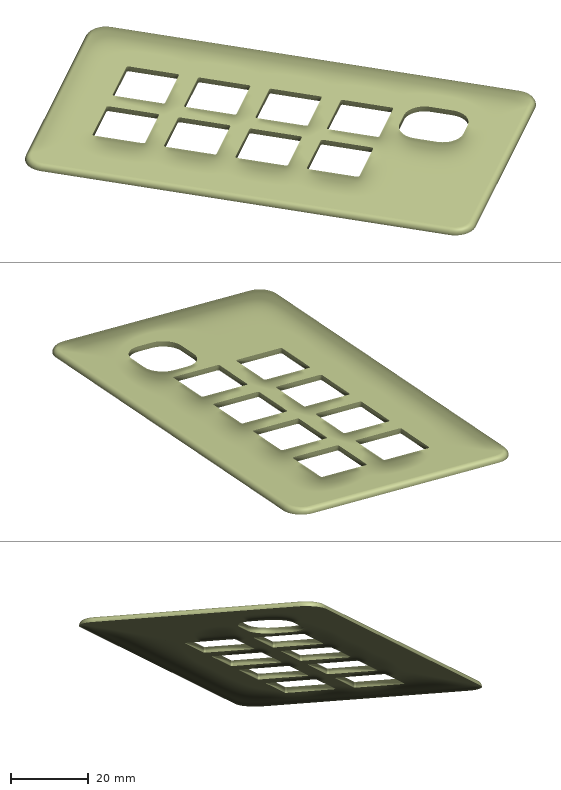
import cadquery as cq

plate_length = 120.0
plate_width = 67.62
plate_thickness = 1.5
corner_radius = 5.5
rim_radius = plate_thickness

key_columns = 4
key_rows = 2
key_pitch = 19.05
key_size = 14.0
key_corner_radius = 0.5
key_grid_x = -10.025
key_grid_y = 0.0

opening_length = 17.0
opening_width = 15.0
opening_corner_radius = 5.5
opening_x = 37.5
opening_y = 11.975


def rounded_block(length, width, height, radius):
    """Block with rounded vertical edges, standing on Z = 0."""
    block = cq.Workplane("XY").box(length, width, height, centered=(True, True, False))
    return block.edges("|Z").fillet(radius)


def make_plate():
    """Plate whose rim curves from the top face down to the bottom edge."""
    blank = rounded_block(plate_length, plate_width, 2 * plate_thickness, corner_radius)
    blank = blank.faces(">Z").edges().fillet(rim_radius)
    lower_half = cq.Workplane("XY").box(
        plate_length, plate_width, plate_thickness, centered=(True, True, False)
    )
    return blank.cut(lower_half).translate((0, 0, -plate_thickness))


def grid_offset(index, count):
    """Distance of one row or column from the middle of the key grid."""
    return (index - (count - 1) / 2) * key_pitch


def cut_keys(body):
    """Cut the grid of key windows through the plate."""
    window = rounded_block(key_size, key_size, plate_thickness, key_corner_radius)
    for column in range(key_columns):
        for row in range(key_rows):
            x = key_grid_x + grid_offset(column, key_columns)
            y = key_grid_y + grid_offset(row, key_rows)
            body = body.cut(window.translate((x, y, 0)))
    return body


def cut_opening(body):
    """Cut the large rounded opening through the plate."""
    opening = rounded_block(opening_length, opening_width, plate_thickness, opening_corner_radius)
    return body.cut(opening.translate((opening_x, opening_y, 0)))


plate = make_plate()
plate = cut_keys(plate)
result = cut_opening(plate)